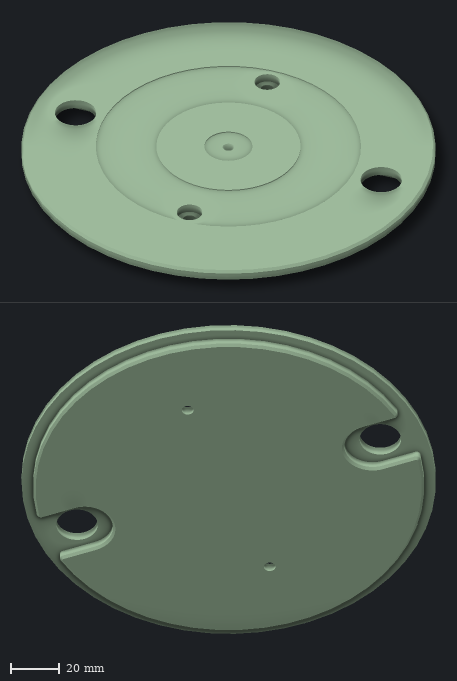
import cadquery as cq

flange_radius = 86.0
spigot_radius = 81.2
total_height = 8.0
flange_thickness = 4.1
spigot_height = total_height - flange_thickness
flange_chamfer = 1.0
spigot_chamfer = 1.0

step_depth = 0.5
recess_radius = 55.0
pad_radius = 30.0
pad_recess_radius = 10.0
recess_floor = total_height - step_depth

dimple_radius = 2.4
dimple_depth = 1.4

large_hole_radius = 8.6
large_hole_offset = 67.5
notch_end_offset = 64.0
notch_half_width = 11.7
notch_corner_radius = 1.7

screw_offset = 47.5
screw_hole_bottom_radius = 2.4
screw_hole_top_radius = 2.8
counterbore_floor_radius = 5.2
counterbore_top_radius = 5.3
counterbore_floor = 4.0


def cylinder(radius, bottom, top, x=0, y=0):
    """Vertical cylinder between two heights."""
    return cq.Workplane("XY", origin=(x, y, bottom)).circle(radius).extrude(top - bottom)


def notch(side):
    """Round-ended slot that runs from behind a large hole out through the spigot rim."""
    center_x = side * notch_end_offset
    outer_x = side * flange_radius
    return (
        cq.Workplane("XY")
        .moveTo(outer_x, -notch_half_width)
        .lineTo(center_x, -notch_half_width)
        .threePointArc((center_x - side * notch_half_width, 0), (center_x, notch_half_width))
        .lineTo(outer_x, notch_half_width)
        .close()
        .extrude(spigot_height)
    )


def make_spigot():
    """Notched lower disc with rounded notch mouths and a chamfered bottom edge."""
    spigot = cylinder(spigot_radius, 0, spigot_height)
    for side in (-1, 1):
        spigot = spigot.cut(notch(side))
    mouth_edges = spigot.edges("|Z").edges("<X or >X")
    spigot = mouth_edges.fillet(notch_corner_radius)
    return spigot.faces("<Z").edges().chamfer(spigot_chamfer)


def make_flange():
    """Upper disc with a chamfered top edge."""
    flange = cylinder(flange_radius, spigot_height, total_height)
    return flange.faces(">Z").edges().chamfer(flange_chamfer)


def cut_top_steps(body):
    """Sink a ring around the central pad and a shallow recess in the pad."""
    ring = cylinder(recess_radius, recess_floor, total_height).cut(
        cylinder(pad_radius, recess_floor, total_height)
    )
    return body.cut(ring).cut(cylinder(pad_recess_radius, recess_floor, total_height))


def cut_dimple(body):
    """Spherical hollow in the middle of the pad recess."""
    sphere_radius = (dimple_radius**2 + dimple_depth**2) / (2 * dimple_depth)
    sphere_center = recess_floor - dimple_depth + sphere_radius
    return body.cut(cq.Workplane("XY", origin=(0, 0, sphere_center)).sphere(sphere_radius))


def screw_hole_cutter(y):
    """Slightly tapered screw hole below a slightly tapered counterbore."""
    half_section = cq.Workplane("XZ", origin=(0, y, 0)).polyline([
        (0, 0),
        (screw_hole_bottom_radius, 0),
        (screw_hole_top_radius, counterbore_floor),
        (counterbore_floor_radius, counterbore_floor),
        (counterbore_top_radius, recess_floor),
        (0, recess_floor),
    ]).close()
    return half_section.revolve(360, (0, 0), (0, 1))


def cut_through_holes(body):
    """Large holes on the X axis and counterbored screw holes on the Y axis."""
    for side in (-1, 1):
        body = body.cut(cylinder(large_hole_radius, 0, total_height, x=side * large_hole_offset))
        body = body.cut(screw_hole_cutter(side * screw_offset))
    return body


result = make_spigot().union(make_flange())
result = cut_top_steps(result)
result = cut_dimple(result)
result = cut_through_holes(result)